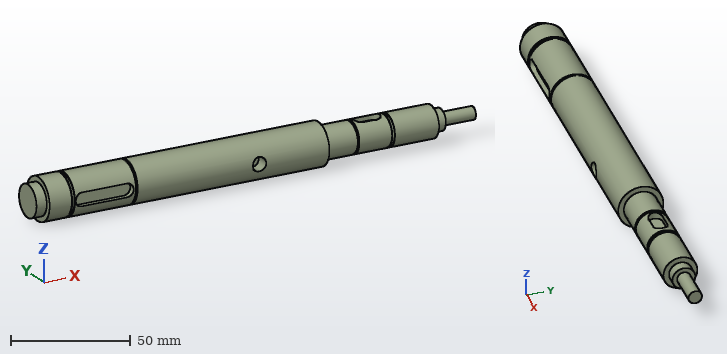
import cadquery as cq

total_length = 214.3
nose_diameter = 15
body_diameter = 20.0
neck_diameter = 15
collar_diameter = 10.0
pin_diameter = 6.0

nose_end = 5.0
body_end = 139.7
neck_end = 194.0
collar_end = 198.7

body_groove_diameter = 19.0
neck_groove_diameter = 14.4
wide_groove = 1.3
narrow_groove = 0.6
body_wide_groove_start = 15.9
body_narrow_groove_start = 46.7
neck_narrow_groove_start = 155.0
neck_wide_groove_start = 171.5

slot_width = 6.2
side_slot_start = 17.5
side_slot_end = 45.5
side_slot_depth = 3.0
top_slot_start = 156.9
top_slot_end = 169.5
top_slot_depth = 3.0
side_hole_x = 106.0
side_hole_diameter = 6.5
side_hole_depth = 6.5


def cylinder(start, end, diameter):
    """Cylinder about the X axis between two stations."""
    return cq.Workplane("YZ", origin=(start, 0, 0)).circle(diameter / 2).extrude(end - start)


def ring(start, width, outer_diameter, inner_diameter):
    """Ring of material to remove for a groove."""
    end = start + width
    return cylinder(start, end, outer_diameter).cut(cylinder(start, end, inner_diameter))


def slot(plane, start, end):
    """Round-ended slot profile along X, centred on the axis of the part."""
    return cq.Workplane(plane).center((start + end) / 2, 0).slot2D(end - start, slot_width)


def recess(profile, outer_diameter, depth):
    """Extrude a profile outward from the floor of a recess to beyond the surface."""
    floor = outer_diameter / 2 - depth
    return profile.extrude(outer_diameter).translate(profile.plane.zDir * floor)


result = (
    cylinder(0, nose_end, nose_diameter)
    .union(cylinder(nose_end, body_end, body_diameter))
    .union(cylinder(body_end, neck_end, neck_diameter))
    .union(cylinder(neck_end, collar_end, collar_diameter))
    .union(cylinder(collar_end, total_length, pin_diameter))
)

for start, width in [
    (body_wide_groove_start, wide_groove),
    (body_narrow_groove_start, narrow_groove),
]:
    result = result.cut(ring(start, width, body_diameter, body_groove_diameter))

for start, width in [
    (neck_narrow_groove_start, narrow_groove),
    (neck_wide_groove_start, wide_groove),
]:
    result = result.cut(ring(start, width, neck_diameter, neck_groove_diameter))

side_slot = slot("XZ", side_slot_start, side_slot_end)
side_hole = cq.Workplane("XZ").center(side_hole_x, 0).circle(side_hole_diameter / 2)
result = result.cut(recess(side_slot, body_diameter, side_slot_depth))
result = result.cut(recess(side_hole, body_diameter, side_hole_depth))

top_slot = slot("XY", top_slot_start, top_slot_end)
result = result.cut(recess(top_slot, neck_diameter, top_slot_depth))